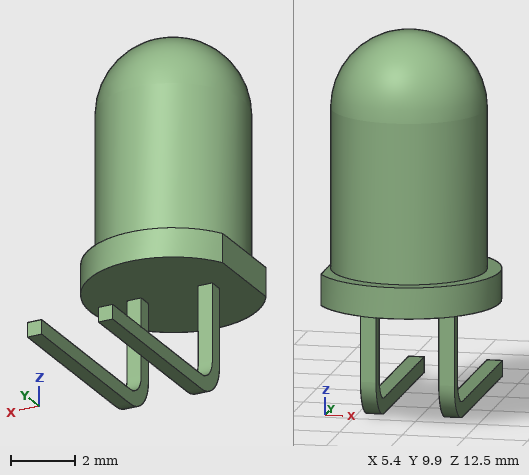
import cadquery as cq

total_height = 12.5
lens_radius = 4.9 / 2
flange_radius = 2.9
flange_height = 1.0
flat_distance = 2.5

lens_top = 8.59
dome_base = lens_top - lens_radius

lead_width = 0.5
lead_pitch = 2.5
lead_end_y = 7.0
bend_outer_radius = 1.25
bend_inner_radius = bend_outer_radius - lead_width
lead_bottom = lens_top - total_height


def make_flange():
    disc = cq.Workplane("XY").circle(flange_radius).extrude(flange_height)
    keep_length = flat_distance + flange_radius
    keep = cq.Workplane("XY").box(
        keep_length, 2 * flange_radius, flange_height, centered=(False, True, False)
    )
    return disc.intersect(keep.translate((-flat_distance, 0, 0)))


def make_lens():
    return (
        cq.Workplane("XZ")
        .lineTo(lens_radius, 0)
        .lineTo(lens_radius, dome_base)
        .radiusArc((0, lens_top), -lens_radius)
        .close()
        .revolve(360, (0, 0), (0, 1))
    )


def make_lead(center_x):
    """Square wire going down from the flange, then bent towards +Y."""
    half = lead_width / 2
    lead = (
        cq.Workplane("YZ")
        .moveTo(-half, 0)
        .lineTo(half, 0)
        .lineTo(half, lead_bottom + lead_width)
        .lineTo(lead_end_y, lead_bottom + lead_width)
        .lineTo(lead_end_y, lead_bottom)
        .lineTo(-half, lead_bottom)
        .close()
        .extrude(half, both=True)
    )
    inner_corner = cq.selectors.NearestToPointSelector((0, half, lead_bottom + lead_width))
    outer_corner = cq.selectors.NearestToPointSelector((0, -half, lead_bottom))
    lead = lead.edges("|X").edges(inner_corner).fillet(bend_inner_radius)
    lead = lead.edges("|X").edges(outer_corner).fillet(bend_outer_radius)
    return lead.translate((center_x, 0, 0))


result = make_flange().union(make_lens())
for side in (-1, 1):
    result = result.union(make_lead(side * lead_pitch / 2))